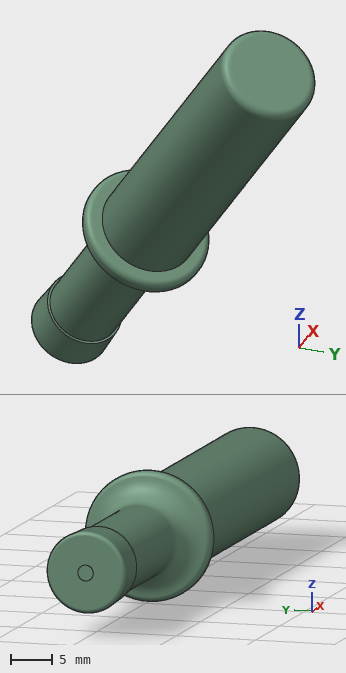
import cadquery as cq
import math

total_length = 69.5

tip_length = 5.4
tip_front_radius = 5.0
tip_rear_radius = 4.8
tip_edge_radius = 0.5
spigot_radius = 1.95 / 2

neck_radius = 9.0 / 2
handle_radius = 12.0 / 2
handle_end_fillet = 1.0
collar_radius = 16.0 / 2
collar_front = 25.4
collar_length = 2.15
collar_fillet = 0.75

collar_back = collar_front + collar_length
rim_base = collar_radius - collar_fillet
rim_start = collar_front + collar_fillet
rim_end = collar_back - collar_fillet

flare_radius = 3.35
flare_center_radius = neck_radius + flare_radius
center_rise = flare_center_radius - rim_base
center_distance = flare_radius + collar_fillet
flare_start = rim_start - math.sqrt(center_distance**2 - center_rise**2)
flare_drop_angle = math.asin(center_rise / center_distance)

QUARTER_TURN = math.pi / 2


def revolve_about_x(profile):
    """Turn a closed XY profile a full circle about the X axis."""
    return profile.revolve(360, (0, 0, 0), (1, 0, 0))


def arc_point(center, radius, angle):
    """Point on a circle at an angle in radians from +X."""
    return (center[0] + radius * math.cos(angle), center[1] + radius * math.sin(angle))


def add_arc(profile, center, radius, start_angle, end_angle):
    """Extend the profile along a circular arc from its current point."""
    mid = arc_point(center, radius, (start_angle + end_angle) / 2)
    return profile.threePointArc(mid, arc_point(center, radius, end_angle))


def make_shaft():
    """Spigot, neck, flared collar and handle turned as one body."""
    profile = (
        cq.Workplane("XY")
        .lineTo(0, spigot_radius)
        .lineTo(tip_length, spigot_radius)
        .lineTo(tip_length, neck_radius)
        .lineTo(flare_start, neck_radius)
    )

    flare_center = (flare_start, flare_center_radius)
    profile = add_arc(profile, flare_center, flare_radius, -QUARTER_TURN, -flare_drop_angle)

    profile = add_arc(
        profile, (rim_start, rim_base), collar_fillet, math.pi - flare_drop_angle, QUARTER_TURN
    )
    profile = profile.lineTo(rim_end, collar_radius)
    profile = add_arc(profile, (rim_end, rim_base), collar_fillet, QUARTER_TURN, 0)

    handle_round_start = total_length - handle_end_fillet
    handle_face_radius = handle_radius - handle_end_fillet
    profile = profile.lineTo(collar_back, handle_radius).lineTo(handle_round_start, handle_radius)
    handle_round_center = (handle_round_start, handle_face_radius)
    profile = add_arc(profile, handle_round_center, handle_end_fillet, QUARTER_TURN, 0)
    return revolve_about_x(profile.lineTo(total_length, 0).close())


def make_tip():
    """Tapered ring with a rounded front edge, bored for the spigot."""
    profile = cq.Workplane("XY").polyline([
        (0, spigot_radius),
        (0, tip_front_radius),
        (tip_length, tip_rear_radius),
        (tip_length, spigot_radius),
    ]).close()
    ring = revolve_about_x(profile)
    front_rim = cq.selectors.RadiusNthSelector(-1)
    return ring.faces("<X").edges(front_rim).fillet(tip_edge_radius)


shaft = make_shaft()
tip = make_tip()

result = cq.Compound.makeCompound([shaft.val(), tip.val()])